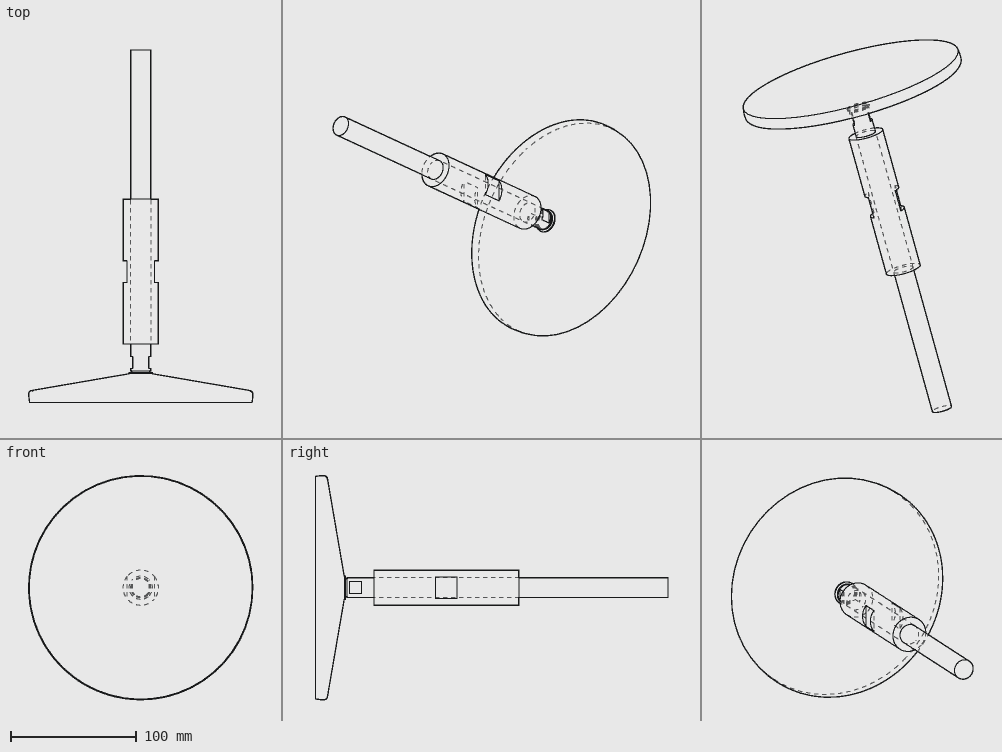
import cadquery as cq

total_length = 280.0

foot_radius = 178.0 / 2
base_radius = 88.5
lower_rim_height = 4.2
cone_edge_height = 9.2
shoulder_radius = 2.8
collar_radius = 9.2
cone_top_height = 23.0
foot_height = 23.8

spindle_diameter = 16.0
neck_diameter = 14.5
neck_length = 1.5
spindle_flat_width = 13.0
spindle_flat_start = 27.2
spindle_flat_length = 9.2

sleeve_diameter = 28.0
sleeve_start = 46.5
sleeve_length = 115.0
sleeve_flat_width = 22.0
sleeve_flat_length = 17.0


def cylinder(diameter, start, length):
    """Solid cylinder along +Y from the given start position."""
    axis_plane = cq.Workplane("XZ", origin=(0, start, 0))
    return axis_plane.circle(diameter / 2).extrude(-length)


def cut_flats(body, diameter, width, start, length):
    """Cut two opposite wrench flats, facing -X and +X, into a round body."""
    cut_depth = (diameter - width) / 2
    cutter_center = width / 2 + cut_depth
    for side in (-1, 1):
        cutter = cq.Workplane("XY").box(2 * cut_depth, length, diameter)
        body = body.cut(cutter.translate((side * cutter_center, start + length / 2, 0)))
    return body


def make_foot():
    """Conical plate with a rounded shoulder, a rim and a small collar on top."""
    profile = (
        cq.Workplane("XY")
        .lineTo(base_radius, 0)
        .lineTo(foot_radius, lower_rim_height)
        .lineTo(foot_radius, cone_edge_height)
        .lineTo(collar_radius, cone_top_height)
        .lineTo(collar_radius, foot_height)
        .lineTo(0, foot_height)
        .close()
    )
    plate = profile.revolve(360, (0, 0, 0), (0, 1, 0))
    shoulder_edge = cq.selectors.BoxSelector(
        (-foot_radius, cone_edge_height - 0.3, -foot_radius),
        (foot_radius + 0.3, cone_edge_height + 0.3, foot_radius),
    )
    return plate.edges("%CIRCLE").edges(shoulder_edge).fillet(shoulder_radius)


def make_spindle():
    """Long rod resting on the foot, with a narrower neck and wrench flats."""
    neck = cylinder(neck_diameter, foot_height, neck_length)
    rod_start = foot_height + neck_length
    rod = cylinder(spindle_diameter, rod_start, total_length - rod_start)
    return cut_flats(
        neck.union(rod), spindle_diameter, spindle_flat_width, spindle_flat_start, spindle_flat_length
    )


def make_sleeve():
    """Tube around the spindle with wrench flats at mid-length."""
    tube = cylinder(sleeve_diameter, sleeve_start, sleeve_length)
    bore = cylinder(spindle_diameter, sleeve_start, sleeve_length)
    flat_start = sleeve_start + (sleeve_length - sleeve_flat_length) / 2
    return cut_flats(
        tube.cut(bore), sleeve_diameter, sleeve_flat_width, flat_start, sleeve_flat_length
    )


foot = make_foot()
spindle = make_spindle()
sleeve = make_sleeve()

result = cq.Compound.makeCompound([foot.val(), spindle.val(), sleeve.val()])